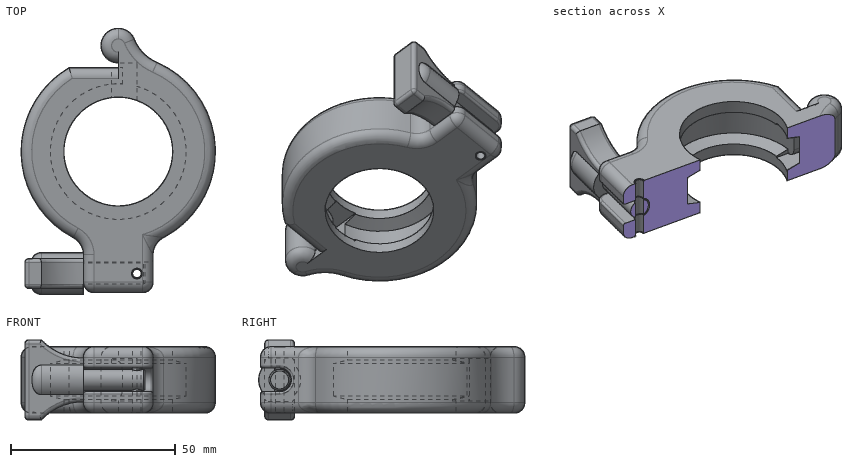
import cadquery as cq
import math

HEIGHT = 20.2
RING_R = 29.5
BORE_R = 16.5
EDGE_R = 3.2

GROOVE_R = 20.6
GROOVE_MOUTH = 12.05
GROOVE_TAPER = 15.0

HOOK_Y = 32.2
HOOK_R = 5.3
HOOK_NECK_R = 12.95
FLAT_Y = 25.5

TONGUE_END = 1.2
CHANNEL_RIGHT = 5.7
CHANNEL_HEIGHT = 12.95
CHANNEL_END = HOOK_Y - HOOK_R

LUG_HALF = 10.6
LUG_END = -42.9
LUG_FILLET = 5.8
SLOT_R = 3.6
SLOT_RIM_R = 0.7

BOLT_Y = -37.1
BOLT_R = 3.2
BOLT_END = 8.2
BOLT_CHAMFER = 0.5
NUT_R = 6.4
NUT_LEFT = -26.55
NUT_ROUND = 3.2
PIN_X = 5.7
PIN_R = 1.6
PIN_BORE_R = 1.3
PIN_RECESS = 0.2

WING_LEFT = -28.4
WING_SHOULDER = -23.4
WING_HEIGHT = 24.4
WING_ROOT_HEIGHT = 13.3
WING_THICK = 9.1
WING_ROUND = 1.2

TOP = HEIGHT / 2
FAR = 2 * RING_R
REACH = 0.1


def on_circle(centre, radius, angle):
    return (centre[0] + radius * math.cos(angle), centre[1] + radius * math.sin(angle))


def direction(start, end):
    return math.atan2(end[1] - start[1], end[0] - start[0])


def box(x0, x1, y0, y1, height):
    """Block centred on z = 0."""
    centre = ((x0 + x1) / 2, (y0 + y1) / 2, 0)
    return cq.Workplane("XY").box(x1 - x0, y1 - y0, height).translate(centre)


def rod(x0, x1, radius):
    """Cylinder along X on the bolt axis."""
    return cq.Workplane("YZ", origin=(x0, BOLT_Y, 0)).circle(radius).extrude(x1 - x0)


def lug_fillet_centre(side):
    x = LUG_HALF + LUG_FILLET
    return (side * x, -math.sqrt((RING_R + LUG_FILLET) ** 2 - x ** 2))


def round_half(half):
    """Round the top and bottom rims of a body half, except in the plane x = 0, and the lug corners."""
    rims = half.faces("|Z").edges().vals()
    lug_end = cq.selectors.BoxSelector((-FAR, LUG_END - REACH, -REACH), (FAR, LUG_END + REACH, REACH))
    corners = half.edges(lug_end).vals()
    edges = [e for e in rims + corners if abs(e.Center().x) > REACH]
    return half.newObject(edges).fillet(EDGE_R)


def left_half():
    """Half with the flat that faces the hook."""
    centre = lug_fillet_centre(-1)
    flat_x = -math.sqrt(RING_R ** 2 - FLAT_Y ** 2)
    blend_mid = on_circle(centre, LUG_FILLET, direction(centre, (0, 0)) / 2)
    outline = (
        cq.Workplane("XY", origin=(0, 0, -TOP))
        .moveTo(0, LUG_END)
        .lineTo(-LUG_HALF, LUG_END)
        .lineTo(-LUG_HALF, centre[1])
        .threePointArc(blend_mid, on_circle((0, 0), RING_R, direction((0, 0), centre)))
        .threePointArc((-RING_R, 0), (flat_x, FLAT_Y))
        .lineTo(0, FLAT_Y)
        .close()
    )
    return round_half(outline.extrude(HEIGHT))


def right_half():
    """Half with the hook; its lug blend is rounded last, so it fades out at the top and bottom."""
    hook = (0, HOOK_Y)
    ring_gap = RING_R + HOOK_NECK_R
    hook_gap = HOOK_R + HOOK_NECK_R
    neck_y = (ring_gap ** 2 - hook_gap ** 2 + HOOK_Y ** 2) / (2 * HOOK_Y)
    neck = (math.sqrt(ring_gap ** 2 - neck_y ** 2), neck_y)
    to_ring = direction(neck, (0, 0))
    to_hook = direction(neck, hook) % (2 * math.pi)
    neck_mid = on_circle(neck, HOOK_NECK_R, (to_ring % (2 * math.pi) + to_hook) / 2)
    hook_angle = direction(hook, neck)
    hook_mid = on_circle(hook, HOOK_R, (hook_angle + math.pi / 2) / 2)
    corner = (LUG_HALF, -math.sqrt(RING_R ** 2 - LUG_HALF ** 2))
    outline = (
        cq.Workplane("XY", origin=(0, 0, -TOP))
        .moveTo(0, LUG_END)
        .lineTo(LUG_HALF, LUG_END)
        .lineTo(*corner)
        .threePointArc((RING_R, 0), on_circle((0, 0), RING_R, direction((0, 0), neck)))
        .threePointArc(neck_mid, on_circle(hook, HOOK_R, hook_angle))
        .threePointArc(hook_mid, (0, HOOK_Y + HOOK_R))
        .close()
    )
    half = round_half(outline.extrude(HEIGHT))
    inner_corner = cq.selectors.NearestToPointSelector((*corner, 0))
    return half.edges(inner_corner).fillet(LUG_FILLET)


def hook_end():
    """Half of a round post that closes the hook on its -X side."""
    post = cq.Workplane("XY", origin=(0, HOOK_Y, -TOP)).circle(HOOK_R).extrude(HEIGHT)
    post = post.faces("|Z").edges().fillet(EDGE_R)
    return post.intersect(box(-FAR, 0, -FAR, FAR, FAR))


def bore():
    """Solid of the bore and its groove, to be cut away."""
    mouth = GROOVE_MOUTH / 2
    floor = mouth - (GROOVE_R - BORE_R) * math.tan(math.radians(GROOVE_TAPER))
    profile = [
        (0, -TOP), (BORE_R, -TOP), (BORE_R, -mouth), (GROOVE_R, -floor),
        (GROOVE_R, floor), (BORE_R, mouth), (BORE_R, TOP), (0, TOP),
    ]
    return cq.Workplane("XZ").polyline(profile).close().revolve(360, (0, 0, 0), (0, 1, 0))


def joint_channel():
    """Channel that leaves a round-cornered tongue of the left half standing outside the groove."""
    channel = box(TONGUE_END - EDGE_R, CHANNEL_RIGHT, 0, CHANNEL_END, CHANNEL_HEIGHT)
    tongue = box(-RING_R, TONGUE_END, 0, FLAT_Y, CHANNEL_HEIGHT).edges("|Y and >X").fillet(EDGE_R)
    groove_space = cq.Workplane("XY", origin=(0, 0, -TOP)).circle(GROOVE_R).extrude(HEIGHT)
    return channel.cut(tongue.cut(groove_space))


def cut_bolt_slot(body):
    """Cut the round-bottomed slot along X and round its rim."""
    slot = rod(-FAR, FAR, SLOT_R).union(box(-FAR, FAR, -FAR, BOLT_Y, 2 * SLOT_R))
    body = body.cut(slot)
    reach = SLOT_R + REACH
    around_slot = cq.selectors.BoxSelector((-FAR, -FAR, -reach), (FAR, BOLT_Y + reach, reach), True)
    tangent_seams = cq.selectors.BoxSelector((-REACH, BOLT_Y - REACH, -FAR), (REACH, BOLT_Y + REACH, FAR))
    return body.edges(around_slot - tangent_seams).fillet(SLOT_RIM_R)


def wing():
    """Flat handle that narrows in two arcs towards the lug."""
    root_x = -LUG_HALF
    run = root_x - WING_SHOULDER
    top = WING_HEIGHT / 2
    root = WING_ROOT_HEIGHT / 2
    rise = top - root
    sweep_r = (run ** 2 + rise ** 2) / (2 * rise)
    mid_x = root_x - run / 2
    mid = root + sweep_r - math.sqrt(sweep_r ** 2 - (run / 2) ** 2)
    plate = (
        cq.Workplane("XZ", origin=(0, BOLT_Y + WING_THICK / 2, 0))
        .moveTo(WING_LEFT, -top)
        .lineTo(WING_SHOULDER, -top)
        .threePointArc((mid_x, -mid), (root_x, -root))
        .lineTo(root_x, root)
        .threePointArc((mid_x, mid), (WING_SHOULDER, top))
        .lineTo(WING_LEFT, top)
        .close()
        .extrude(WING_THICK)
    )
    rims = plate.faces("|Y").edges().vals() + plate.faces("<X").edges("|Y").vals()
    return plate.newObject([e for e in rims if e.Center().x < root_x - REACH]).fillet(WING_ROUND)


def nut():
    return rod(NUT_LEFT, -LUG_HALF, NUT_R).faces("<X").edges().fillet(NUT_ROUND)


def bolt():
    return rod(-LUG_HALF, BOLT_END, BOLT_R).faces(">X").chamfer(BOLT_CHAMFER)


def pin_rod(radius, length):
    return cq.Workplane("XY", origin=(PIN_X, BOLT_Y, -length / 2)).circle(radius).extrude(length)


body = left_half().union(right_half()).union(hook_end())
body = body.cut(bore()).cut(joint_channel())
body = cut_bolt_slot(body)
result = body.union(wing()).union(nut()).union(bolt())
result = result.cut(pin_rod(PIN_R, HEIGHT)).union(pin_rod(PIN_R, HEIGHT - 2 * PIN_RECESS))
result = result.cut(pin_rod(PIN_BORE_R, HEIGHT))